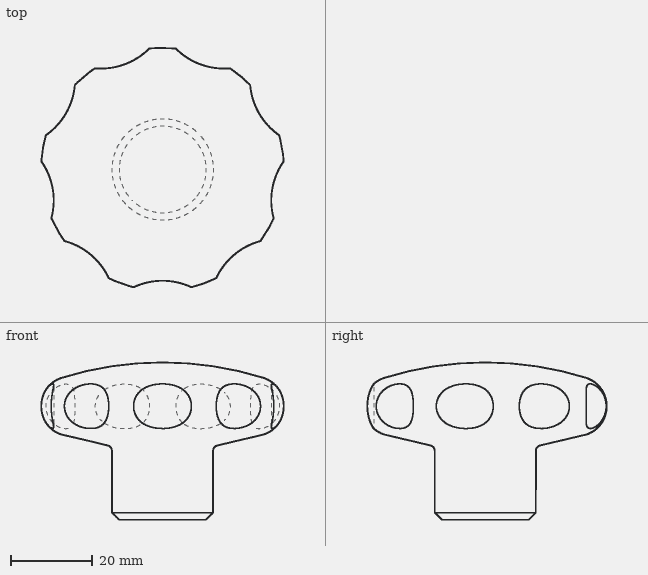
import cadquery as cq
import math

stem_radius = 12.5
stem_chamfer = 1.8
neck_fillet = 1.25

head_radius = 30.0
face_radius = 25.0
rim_center_z = 28.0
rim_half_height = 7.0
total_height = 38.85
underside_angle = 13.3

scallop_count = 9
scallop_radius = 16.75
scallop_floor_radius = 27.55
first_scallop_angle = -90.0

rim_top_z = rim_center_z + rim_half_height
rim_bottom_z = rim_center_z - rim_half_height
underside_drop = (face_radius - stem_radius) * math.tan(math.radians(underside_angle))
neck_z = rim_bottom_z - underside_drop

dome_height = total_height - rim_top_z
dome_radius = (face_radius**2 + dome_height**2) / (2 * dome_height)
dome_center_z = total_height - dome_radius
dome_mid_angle = math.asin(face_radius / dome_radius) / 2
dome_mid_point = (
    dome_radius * math.sin(dome_mid_angle),
    dome_center_z + dome_radius * math.cos(dome_mid_angle),
)


def make_body():
    """Revolve the stem, cone, rounded rim and dome as one profile."""
    profile = (
        cq.Workplane("XZ")
        .lineTo(stem_radius - stem_chamfer, 0)
        .lineTo(stem_radius, stem_chamfer)
        .lineTo(stem_radius, neck_z)
        .lineTo(face_radius, rim_bottom_z)
        .threePointArc((head_radius, rim_center_z), (face_radius, rim_top_z))
        .threePointArc(dome_mid_point, (0, total_height))
        .close()
    )
    return profile.revolve(360, (0, 0, 0), (0, 1, 0))


def round_neck(body):
    """Fillet the circle where the stem meets the underside cone."""
    neck_point = (0, 0, neck_z)
    neck_edge = cq.selectors.NearestToPointSelector(neck_point)
    return body.edges(neck_edge).fillet(neck_fillet)


def cut_scallops(body):
    """Cut vertical cylindrical grips at equal angles around the rim."""
    cutters = (
        cq.Workplane("XY")
        .polarArray(
            scallop_floor_radius + scallop_radius, first_scallop_angle, 360, scallop_count
        )
        .circle(scallop_radius)
        .extrude(total_height, combine=False)
    )
    return body.cut(cutters)


result = cut_scallops(round_neck(make_body()))